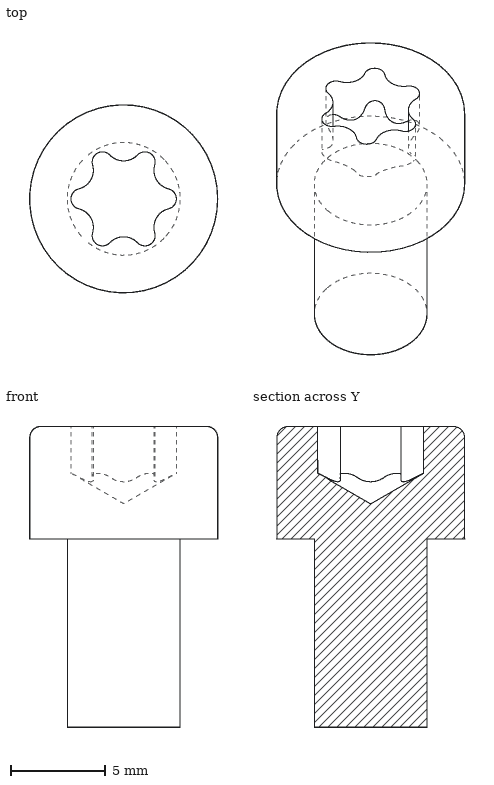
import cadquery as cq
import math

shank_diameter = 6.0
shank_length = 10.0
head_diameter = 10.0
head_height = shank_diameter
head_fillet = shank_diameter / 10

lobe_count = 6
socket_tip_radius = 2.8
socket_valley_radius = 2.02
lobe_radius = 0.55
socket_wall_depth = 2.5
floor_slope = 30

top_z = shank_length + head_height


def polar(radius, angle):
    """Point at a radius and an angle in degrees around the screw axis."""
    return (radius * math.cos(math.radians(angle)), radius * math.sin(math.radians(angle)))


def socket_outline(plane):
    """Convex lobe arcs joined tangentially by concave valley arcs."""
    half_pitch = 180 / lobe_count
    lobe_center_radius = socket_tip_radius - lobe_radius
    cos_half = math.cos(math.radians(half_pitch))

    valley_radius = (
        socket_valley_radius**2
        + lobe_center_radius**2
        - 2 * socket_valley_radius * lobe_center_radius * cos_half
        - lobe_radius**2
    ) / (2 * (lobe_radius - socket_valley_radius + lobe_center_radius * cos_half))

    lobe_x = lobe_center_radius
    valley_x, valley_y = polar(socket_valley_radius + valley_radius, half_pitch)
    share = lobe_radius / (lobe_radius + valley_radius)
    tangent_x = lobe_x + share * (valley_x - lobe_x)
    tangent_y = share * valley_y
    tangent_radius = math.hypot(tangent_x, tangent_y)
    tangent_angle = math.degrees(math.atan2(tangent_y, tangent_x))

    outline = plane.moveTo(*polar(tangent_radius, -tangent_angle))
    for lobe in range(lobe_count):
        angle = lobe * 2 * half_pitch
        outline = outline.threePointArc(
            polar(socket_tip_radius, angle), polar(tangent_radius, angle + tangent_angle)
        ).threePointArc(
            polar(socket_valley_radius, angle + half_pitch),
            polar(tangent_radius, angle + 2 * half_pitch - tangent_angle),
        )
    return outline.close()


def make_body():
    """Plain shank under a cylindrical head with a rounded top rim."""
    shank = cq.Workplane("XY").circle(shank_diameter / 2).extrude(shank_length)
    head = (
        cq.Workplane("XY", origin=(0, 0, shank_length))
        .circle(head_diameter / 2)
        .extrude(head_height)
        .faces(">Z")
        .edges()
        .fillet(head_fillet)
    )
    return shank.union(head)


def make_socket():
    """Six-lobe prism whose floor is a cone pointing down the axis."""
    envelope_radius = head_diameter / 2
    slope = math.tan(math.radians(floor_slope))
    apex_depth = socket_wall_depth + socket_tip_radius * slope
    rim_z = top_z - apex_depth + envelope_radius * slope

    prism = socket_outline(cq.Workplane("XY", origin=(0, 0, top_z))).extrude(-apex_depth)
    above_floor = (
        cq.Workplane("XZ")
        .moveTo(0, top_z - apex_depth)
        .lineTo(envelope_radius, rim_z)
        .lineTo(envelope_radius, top_z)
        .lineTo(0, top_z)
        .close()
        .revolve(360, (0, 0, 0), (0, 1, 0))
    )
    return prism.intersect(above_floor)


result = make_body().cut(make_socket())